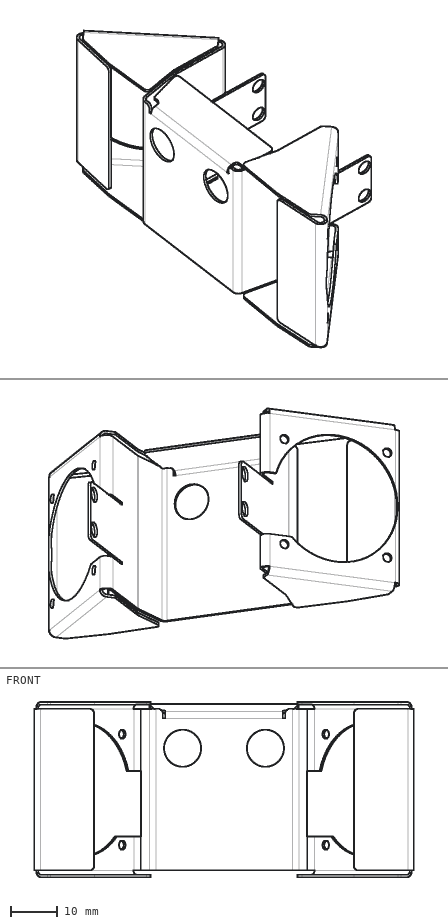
import cadquery as cq
import math

sheet = 0.6
inner_radius = 0.9
outer_radius = inner_radius + sheet
mid_radius = inner_radius + sheet / 2
corner_radius = 1.0

total_width = 82.2
total_height = 38.0
total_depth = 36.5
panel_height = total_height - 2 * outer_radius
panel_top = panel_height / 2

wall_outer_x = 18.0
flare_angle = 11
flare_depth = 10.45
flare_radius = 2.05
wing_angle = 45
wing_back_y = 25.9
lip_angle = 5
lip_end_x = 28.1

window_diameter = 8.0
window_x = 9.0
window_z = 9.0

flap_start_z = 15.5
flap_tilt = 10
flap_back_y = 10.45
flap_half_width = 16.4
flap_neck_half_width = 12.75
flap_neck_depth = 2.7
relief_half_width = 13.2

fan_diameter = 28.95
screw_diameter = 2.0
screw_pitch = 24.0
hole_shift = 0.8

tab_width = 13.15
tab_center_z = -3.05
slot_width = 0.5
slot_end_y = 19.2
tab_hole_diameter = 3.2
tab_hole_pitch = 8.0
tab_hole_y = 34.5

plate_tip_y = 1.6


def round_corners(solid, points):
    """Fillet the edge nearest to each point."""
    for point in points:
        solid = solid.edges(cq.selectors.NearestToPointSelector(point)).fillet(corner_radius)
    return solid


def flat(vector):
    """X and Y of a vector."""
    return vector.x, vector.y


def heading(degrees):
    """Unit vector in a plane, counted from its first axis."""
    return cq.Vector(math.cos(math.radians(degrees)), math.sin(math.radians(degrees)))


def strip_side(vertices, radii, offset):
    """Runs of one face of a folded strip: single end points and (start, middle, end) arcs.

    A positive offset lies to the left of the middle path."""
    directions = [(b - a).normalized() for a, b in zip(vertices, vertices[1:])]
    normals = [cq.Vector(-d.y, d.x) for d in directions]
    runs = [(vertices[0] + normals[0] * offset,)]
    for i, radius in enumerate(radii):
        before, after = directions[i], directions[i + 1]
        turn = math.acos(before.dot(after))
        side = math.copysign(1, before.x * after.y - before.y * after.x)
        start = vertices[i + 1] - before * (radius * math.tan(turn / 2))
        center = start + normals[i] * (side * radius)
        reach = radius - side * offset
        middle = (normals[i] + normals[i + 1]).normalized()
        runs.append(tuple(center - n * (side * reach) for n in (normals[i], middle, normals[i + 1])))
    runs.append((vertices[-1] + normals[-1] * offset,))
    return runs


def folded_strip(plane, vertices, radii):
    """Closed section of a strip folded along sharp middle-path vertices."""
    left = strip_side(vertices, radii, sheet / 2)
    right = [run[::-1] for run in strip_side(vertices, radii, -sheet / 2)[::-1]]
    runs = left + right
    sketch = cq.Workplane(plane).moveTo(*flat(runs[0][0]))
    for run in runs[1:]:
        sketch = sketch.lineTo(run[0].x, run[0].y)
        if len(run) == 3:
            sketch = sketch.threePointArc(flat(run[1]), flat(run[2]))
    return sketch.close()


flare_slope = math.tan(math.radians(flare_angle))
wall_mid_x = wall_outer_x - sheet / 2
wall_inner_x = wall_outer_x - sheet
wing_direction = heading(-wing_angle)
wing_inward = heading(-wing_angle - 90)
lip_direction = heading(180 + lip_angle)
back_center = cq.Vector(wall_inner_x + outer_radius, wing_back_y - outer_radius)
side_center_x = total_width / 2 - outer_radius
wing_length = (side_center_x - back_center.x) / wing_direction.x
side_center = back_center + wing_direction * wing_length
back_turn = 90 + wing_angle
side_turn = 180 - wing_angle - lip_angle


def bend_setback(turn):
    """Distance from a sharp middle-path corner to where its bend begins."""
    return mid_radius * math.tan(math.radians(turn / 2))


def lip_face_y(x):
    """Y of the outer face of the lip."""
    tilt = math.radians(lip_angle)
    return side_center.y - outer_radius / math.cos(tilt) - (side_center.x - x) * math.tan(tilt)


def folded_body():
    front_corner = cq.Vector(wall_mid_x - (flare_depth - sheet / 2) * flare_slope, sheet / 2)
    flare_corner = cq.Vector(wall_mid_x, flare_depth)
    back_corner = cq.Vector(wall_mid_x, back_center.y + bend_setback(back_turn))
    wing_span = bend_setback(back_turn) + wing_length + bend_setback(side_turn)
    side_corner = back_corner + wing_direction * wing_span
    lip_end = side_corner + lip_direction * ((lip_end_x - side_corner.x) / lip_direction.x)
    path = [cq.Vector(0, sheet / 2), front_corner, flare_corner, back_corner, side_corner, lip_end]
    radii = [mid_radius, flare_radius, mid_radius, mid_radius]
    body = folded_strip("XY", path, radii).extrude(panel_top, both=True)
    lip_corners = [(lip_end.x, lip_end.y, z) for z in (-panel_top, panel_top)]
    return round_corners(body, lip_corners)


def wing_plate():
    """Plate folded inward from the top edge of the wing panel."""
    wing_end = side_center - wing_inward * outer_radius
    section_plane = cq.Plane(
        origin=(wing_end.x, wing_end.y, panel_top),
        xDir=wing_inward.toTuple(),
        normal=(-wing_direction).toTuple(),
    )
    bend = (
        cq.Workplane(section_plane)
        .radiusArc((outer_radius, outer_radius), outer_radius)
        .lineTo(outer_radius, inner_radius)
        .radiusArc((sheet, 0), -inner_radius)
        .close()
        .extrude(wing_length)
    )
    wall_run = (wall_inner_x - back_center.x) / wing_inward.x
    wall_end = back_center + wing_inward * wall_run
    flare_inset = sheet / 2 / math.cos(math.radians(flare_angle))
    tip_x = wall_mid_x - flare_inset - (flare_depth - plate_tip_y) * flare_slope
    flare_y = flare_depth - (flare_inset - sheet / 2) / flare_slope
    lip_reach = outer_radius / math.sin(math.radians(90 - wing_angle - lip_angle))
    lip_corner = side_center + wing_inward * lip_reach
    outline = [
        flat(back_center),
        flat(side_center),
        flat(lip_corner),
        (lip_end_x, lip_face_y(lip_end_x)),
        (tip_x, plate_tip_y),
        (wall_inner_x, flare_y),
        flat(wall_end),
    ]
    plate = cq.Workplane("XY", origin=(0, 0, total_height / 2)).polyline(outline).close().extrude(-sheet)
    plate_mid_z = (total_height - sheet) / 2
    rounded = [(x, y, plate_mid_z) for x, y in (outline[2], outline[4])]
    return bend.union(round_corners(plate, rounded))


def wing_holes():
    """Fan opening and its four screw holes, square to the wing panel."""
    wing_middle = back_center + wing_direction * (wing_length / 2 + hole_shift)
    origin = wing_middle - wing_inward * (outer_radius + sheet)
    plane = cq.Plane(
        origin=origin.toTuple(),
        xDir=wing_direction.toTuple(),
        normal=wing_inward.toTuple(),
    )
    depth = 3 * sheet
    fan = cq.Workplane(plane).circle(fan_diameter / 2).extrude(depth)
    screws = cq.Workplane(plane).rect(screw_pitch, screw_pitch, forConstruction=True).vertices()
    return fan.union(screws.circle(screw_diameter / 2).extrude(depth))


def tab_opening():
    """Strip freed around the tab, from the slot ends in the wall out to the fan opening."""
    opening_width = wing_length / 2 * wing_direction.x
    return cq.Workplane("XY").box(
        opening_width,
        total_depth - slot_end_y,
        tab_width + 2 * slot_width,
        centered=(False, False, True),
    ).translate((wall_inner_x, slot_end_y, tab_center_z))


def rear_tab():
    length = total_depth - slot_end_y
    tab = cq.Workplane("XY").box(sheet, length, tab_width, centered=(False, False, True))
    tab = tab.faces(">Y").edges("|X").fillet(corner_radius)
    tab = tab.translate((wall_inner_x, slot_end_y, tab_center_z))
    holes = (
        cq.Workplane("YZ", origin=(wall_inner_x, tab_hole_y, tab_center_z))
        .rarray(0.8, tab_hole_pitch, 1, 2)
        .circle(tab_hole_diameter / 2)
        .extrude(sheet)
    )
    return tab.cut(holes)


def front_openings():
    windows = (
        cq.Workplane("XZ", origin=(0, 0, window_z))
        .rarray(2 * window_x, 0.8, 2, 1)
        .circle(window_diameter / 2)
        .extrude(-sheet)
    )
    relief = (
        cq.Workplane("XZ")
        .moveTo(-relief_half_width - corner_radius, panel_top)
        .radiusArc((-relief_half_width, panel_top - corner_radius), corner_radius)
        .vLineTo(flap_start_z)
        .hLineTo(relief_half_width)
        .vLineTo(panel_top - corner_radius)
        .radiusArc((relief_half_width + corner_radius, panel_top), corner_radius)
        .close()
        .extrude(-sheet)
    )
    return windows.union(relief)


def top_flap():
    rise = heading(flap_tilt)
    root = cq.Vector(sheet / 2, flap_start_z - sheet)
    corner = cq.Vector(sheet / 2, flap_start_z + bend_setback(90 - flap_tilt))
    back = corner + rise * ((flap_back_y - corner.x) / rise.x)
    strip = folded_strip("YZ", [root, corner, back], [mid_radius]).extrude(flap_half_width, both=True)
    shoulder = flap_half_width - (flap_back_y - flap_neck_depth) * flare_slope
    half_outline = [
        (flap_neck_half_width, 0),
        (flap_neck_half_width, flap_neck_depth),
        (shoulder, flap_neck_depth),
        (flap_half_width, flap_back_y),
    ]
    outline = half_outline + [(-x, y) for x, y in reversed(half_outline)]
    blank = cq.Workplane("XY").polyline(outline).close().extrude(total_height)
    rounded = [(x, y, total_height / 2) for x, y in outline if y == flap_back_y]
    rounded += [(side * flap_neck_half_width, flap_neck_depth, total_height / 2) for side in (-1, 1)]
    blank = round_corners(blank, rounded)
    return strip.intersect(blank)


half = folded_body().cut(wing_holes()).cut(tab_opening()).union(rear_tab())
plate = wing_plate()
half = half.union(plate).union(plate.mirror("XY"))
result = half.union(half.mirror("YZ")).cut(front_openings()).union(top_flap()).clean()